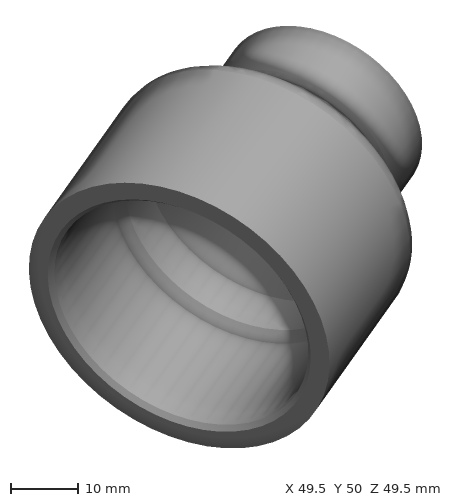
import cadquery as cq

total_length = 50.0
socket_diameter = 49.5
spigot_diameter = 32.5

outer_cone_start = 29.25
transition_fillet = 3.3

socket_bore_diameter = 41.8
middle_bore_diameter = 38.9
spigot_bore_diameter = 26.5
mouth_chamfer = 0.75
socket_depth = 20.75

socket_radius = socket_diameter / 2
spigot_radius = spigot_diameter / 2
socket_bore_radius = socket_bore_diameter / 2
middle_bore_radius = middle_bore_diameter / 2
spigot_bore_radius = spigot_bore_diameter / 2
outer_cone_end = outer_cone_start + socket_radius - spigot_radius
shoulder_end = socket_depth + socket_bore_radius - middle_bore_radius
bore_cone_start = outer_cone_start
bore_cone_end = bore_cone_start + middle_bore_radius - spigot_bore_radius


def revolve_about_y(points):
    """Revolve a closed (radius, axial position) outline about the Y axis."""
    return cq.Workplane("ZY").polyline(points).close().revolve(360, (0, 0, 0), (0, 1, 0))


def make_outer_body():
    """Solid socket, cone and spigot, with both ends of the cone blended."""
    body = revolve_about_y([
        (0, 0),
        (socket_radius, 0),
        (socket_radius, outer_cone_start),
        (spigot_radius, outer_cone_end),
        (spigot_radius, total_length),
        (0, total_length),
    ])
    cone_ends = body.edges("%CIRCLE").edges("not(<Y or >Y)")
    return cone_ends.fillet(transition_fillet)


def make_bore():
    """Through bore: mouth chamfer, socket, shoulder, middle bore, cone, spigot bore."""
    return revolve_about_y([
        (0, 0),
        (socket_bore_radius + mouth_chamfer, 0),
        (socket_bore_radius, mouth_chamfer),
        (socket_bore_radius, socket_depth),
        (middle_bore_radius, shoulder_end),
        (middle_bore_radius, bore_cone_start),
        (spigot_bore_radius, bore_cone_end),
        (spigot_bore_radius, total_length),
        (0, total_length),
    ])


result = make_outer_body().cut(make_bore())